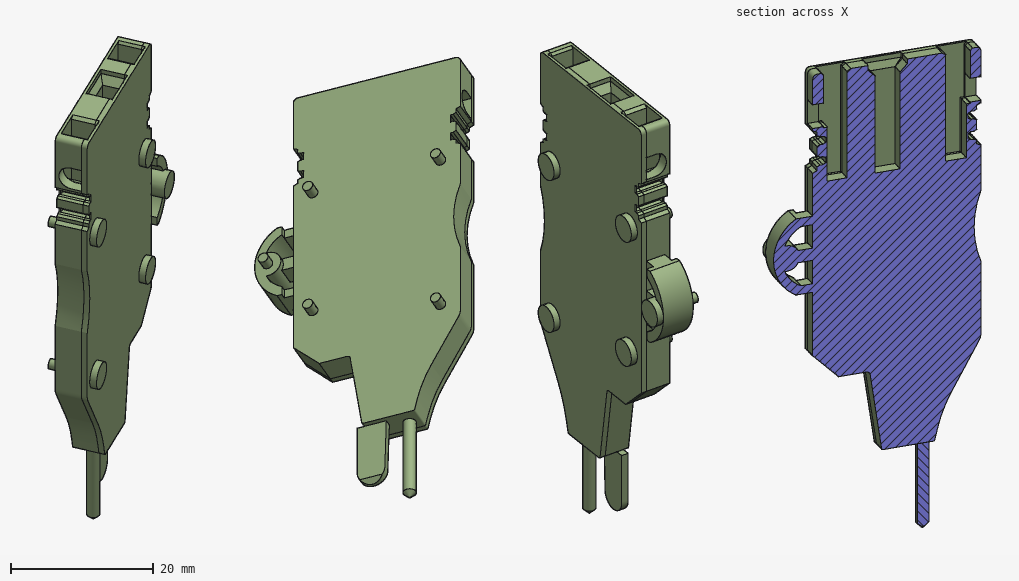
import cadquery as cq
import math


thickness = 4.8
seam_x = 3.95
mid_x = thickness / 2
side_wall = 0.45
top_z = 73.1
bottom_z = 13.2
depth_y = 25.5

top_radius = 0.7
slope_start_z = 28.15
slope_angle = 30.0
slope_start_radius = 2.05
knee_z = 17.9
knee_radius = 20.2
knee_y = (slope_start_z - knee_z) * math.tan(math.radians(slope_angle))
foot_front_y = 7.0
foot_back_y = 15.05
foot_radius = 0.3
shelf_z = 25.65
shelf_front_y = 16.9
shelf_radius = 0.5
back_bevel = 3.95

hollow_z = 45.3
hollow_height = 11.0
hollow_depth = 1.0

grip_z = 61.1
grip_height = 6.5
grip_depth = 0.65
grip_bevel = 0.3
groove_pitch = 3.15
groove_depth = 1.5
groove_floor_height = 1.2
groove_bevel_depth = 0.45
groove_bevel_height = 0.2
scoop_depth = 0.45
scoop_margin = 0.2

edge_wall = 1.3
well_bottom_z = 56.3
lead_in_depth = 0.4
front_well_end_y = 5.9
back_well_start_y = 19.75
outer_lead_in = 0.4
inner_lead_in = 0.6
step_z = 64.6
stepped_wall = 2.3
socket_y0 = 11.2
socket_y1 = 17.1
socket_rim_depth = 0.7
socket_funnel_depth = 1.1
socket_lead_in_y = 1.1
socket_x0 = 1.1

slot_z = 66.6
slot_radius = 1.8

peg_places = [(3.0, 55.7), (22.5, 55.7), (22.5, 35.1), (3.0, 30.5)]
peg_diameter = 1.5
peg_length = 1.9
head_diameter = 4.0
head_length = 1.0

hoop_thickness = 5.05
hoop_peg_length = 1.7
hoop_tip_y = 31.4
hoop_z = 45.3
hoop_half_height = 5.9
hoop_arc_start_y = 28.0
hoop_base_y = 27.3
hoop_wall = 1.4
boss_y = hoop_tip_y - head_diameter / 2
arm_x0 = 0.9
web_height = 2.0

blade_x0 = 0.7
blade_thickness = 1.1
blade_front_y = 11.6
blade_back_y = 16.1
blade_bottom_z = 3.2
blade_taper = 0.2
blade_bevel = 0.9
blade_bevel_x = 0.6
pin_diameter = 1.9
pin_y = 8.8
pin_tip_length = 0.95


def plate_prism(points, x0, x1):
    """Extrude a closed (y, z) polygon from x0 to x1."""
    return cq.Workplane("YZ").workplane(offset=x0).polyline(points).close().extrude(x1 - x0)


def block(x0, x1, y0, y1, z0, z1):
    return cq.Workplane("XY").box(x1 - x0, y1 - y0, z1 - z0, centered=False).translate((x0, y0, z0))


def rod(place, diameter, x0, x1):
    """Cylinder along X at a (y, z) place."""
    return cq.Workplane("YZ").workplane(offset=x0).center(*place).circle(diameter / 2).extrude(x1 - x0)


def mirror_in_depth(tool):
    """Copy of a tool on the opposite edge, mirrored about the middle of the depth."""
    return tool.mirror("XZ", (0, depth_y / 2, 0))


def round_corner(body, y, z, radius):
    """Fillet the edge along X that passes through (y, z)."""
    near = 0.04
    corner = cq.selectors.BoxSelector((-near, y - near, z - near), (thickness + near, y + near, z + near))
    return body.edges("|X").edges(corner).fillet(radius)


def grip_profile():
    """Front edge recess with two deeper grooves, as (y, z) points from top to bottom."""
    upper = grip_z + grip_height / 2
    lower = grip_z - grip_height / 2
    points = [(0, upper), (grip_depth, upper - grip_bevel)]
    half_floor = groove_floor_height / 2
    half_mouth = half_floor + groove_bevel_height
    bevel_y = grip_depth + groove_bevel_depth
    for center in (grip_z + groove_pitch / 2, grip_z - groove_pitch / 2):
        points += [
            (grip_depth, center + half_mouth),
            (bevel_y, center + half_floor),
            (groove_depth, center + half_floor),
            (groove_depth, center - half_floor),
            (bevel_y, center - half_floor),
            (grip_depth, center - half_mouth),
        ]
    return points + [(grip_depth, lower + grip_bevel), (0, lower)]


def groove_scoop(center_z):
    """Tapered recess in the floor of a front groove."""
    width = thickness - 2 * scoop_margin
    height = groove_floor_height
    inner_width = thickness - 2 * side_wall
    inner_height = height - 2 * (side_wall - scoop_margin)
    return (
        cq.Workplane("XZ", origin=(mid_x, groove_depth, center_z))
        .rect(width, height)
        .workplane(offset=-scoop_depth)
        .rect(inner_width, inner_height)
        .loft()
    )


def outer_well(wall_y, inner_y):
    """Well between an edge wall and a divider, with lead-ins and a wall that steps in at the grooves."""
    toward = 1 if inner_y > wall_y else -1
    edge_y = wall_y - toward * edge_wall
    lead_z = top_z - lead_in_depth
    return plate_prism(
        [
            (wall_y, top_z),
            (wall_y + toward * outer_lead_in, lead_z),
            (wall_y + toward * outer_lead_in, step_z),
            (edge_y + toward * stepped_wall, step_z),
            (edge_y + toward * stepped_wall, well_bottom_z),
            (inner_y - toward * inner_lead_in, well_bottom_z),
            (inner_y - toward * inner_lead_in, lead_z),
            (inner_y, top_z),
        ],
        side_wall,
        thickness - side_wall,
    )


def middle_socket():
    """Rim, four-sided funnel and straight shaft."""
    rim_z = top_z - socket_rim_depth
    shaft_z = rim_z - socket_funnel_depth
    shaft_y0 = socket_y0 + socket_lead_in_y
    shaft_y1 = socket_y1 - socket_lead_in_y
    rim = block(side_wall, thickness - side_wall, socket_y0, socket_y1, rim_z, top_z)
    shaft = block(socket_x0, seam_x, shaft_y0, shaft_y1, well_bottom_z, shaft_z)
    shaft_shift_x = (socket_x0 + seam_x) / 2 - mid_x
    funnel = (
        cq.Workplane("XY", origin=(mid_x, (socket_y0 + socket_y1) / 2, rim_z))
        .rect(thickness - 2 * side_wall, socket_y1 - socket_y0)
        .workplane(offset=-socket_funnel_depth)
        .center(shaft_shift_x, 0)
        .rect(seam_x - socket_x0, shaft_y1 - shaft_y0)
        .loft()
    )
    return rim.union(funnel).union(shaft)


def full_body():
    """Housing and cover together, before they are parted at the seam."""
    body = plate_prism(
        [
            (0, top_z),
            (0, slope_start_z),
            (knee_y, knee_z),
            (foot_front_y, bottom_z),
            (foot_back_y, bottom_z),
            (shelf_front_y, shelf_z),
            (depth_y - back_bevel, shelf_z),
            (depth_y, shelf_z + back_bevel),
            (depth_y, top_z),
        ],
        0,
        thickness,
    )
    for y, z, radius in [
        (0, top_z, top_radius),
        (depth_y, top_z, top_radius),
        (0, slope_start_z, slope_start_radius),
        (knee_y, knee_z, knee_radius),
        (foot_front_y, bottom_z, foot_radius),
        (foot_back_y, bottom_z, foot_radius),
        (shelf_front_y, shelf_z, shelf_radius),
    ]:
        body = round_corner(body, y, z, radius)

    hollow = (
        cq.Workplane("YZ")
        .moveTo(0, hollow_z - hollow_height / 2)
        .threePointArc((hollow_depth, hollow_z), (0, hollow_z + hollow_height / 2))
        .close()
        .extrude(thickness)
    )
    body = body.cut(hollow)

    grip = plate_prism(grip_profile(), 0, thickness)
    for center_z in (grip_z + groove_pitch / 2, grip_z - groove_pitch / 2):
        grip = grip.union(groove_scoop(center_z))
    body = body.cut(grip).cut(mirror_in_depth(grip))

    body = body.cut(outer_well(edge_wall, front_well_end_y))
    body = body.cut(outer_well(depth_y - edge_wall, back_well_start_y))
    return body.cut(middle_socket())


def edge_slot():
    """Slot in the front wall, rounded toward the housing's outer side and ending at the seam."""
    return (
        cq.Workplane("XZ")
        .moveTo(seam_x, slot_z + slot_radius)
        .lineTo(mid_x, slot_z + slot_radius)
        .threePointArc((mid_x - slot_radius, slot_z), (mid_x, slot_z - slot_radius))
        .lineTo(seam_x, slot_z - slot_radius)
        .close()
        .extrude(-stepped_wall)
    )


def hoop():
    """Arched ring with a boss, a peg and a head, carried by three narrow arms."""
    inner_half = hoop_half_height - hoop_wall
    arch = (
        cq.Workplane("YZ")
        .moveTo(hoop_base_y, hoop_z - hoop_half_height)
        .lineTo(hoop_arc_start_y, hoop_z - hoop_half_height)
        .threePointArc((hoop_tip_y, hoop_z), (hoop_arc_start_y, hoop_z + hoop_half_height))
        .lineTo(hoop_base_y, hoop_z + hoop_half_height)
        .lineTo(hoop_base_y, hoop_z + inner_half)
        .threePointArc((hoop_tip_y - hoop_wall, hoop_z), (hoop_base_y, hoop_z - inner_half))
        .close()
        .extrude(hoop_thickness)
    )
    place = (boss_y, hoop_z)
    ring = arch.union(rod(place, head_diameter, 0, hoop_thickness))
    ring = ring.union(rod(place, peg_diameter, -hoop_peg_length, 0))
    ring = ring.union(rod(place, head_diameter, hoop_thickness, hoop_thickness + head_length))

    for z0 in (hoop_z + inner_half, hoop_z - hoop_half_height):
        ring = ring.union(block(arm_x0, seam_x, depth_y, hoop_base_y, z0, z0 + hoop_wall))
    web = block(arm_x0, seam_x, depth_y, boss_y, hoop_z - web_height / 2, hoop_z + web_height / 2)
    return ring.union(web)


def make_housing(body):
    housing = body.intersect(block(0, seam_x, 0, depth_y, 0, top_z))
    housing = housing.cut(edge_slot()).cut(mirror_in_depth(edge_slot()))
    for place in peg_places:
        housing = housing.union(rod(place, peg_diameter, -peg_length, 0))
    return housing.union(hoop())


def make_cover(body):
    cover = body.intersect(block(seam_x, thickness, 0, depth_y, 0, top_z))
    for place in peg_places:
        cover = cover.union(rod(place, head_diameter, thickness, thickness + head_length))
    return cover


def make_blade():
    """Flat blade with a tapered front edge, a round end and a bevel on its outer side."""
    end_radius = (blade_back_y - blade_front_y - blade_taper) / 2
    end_y = blade_back_y - end_radius
    end_z = blade_bottom_z + end_radius
    blade = (
        cq.Workplane("YZ")
        .workplane(offset=blade_x0)
        .moveTo(blade_front_y, bottom_z)
        .lineTo(blade_front_y + blade_taper, end_z)
        .threePointArc((end_y, blade_bottom_z), (blade_back_y, end_z))
        .lineTo(blade_back_y, bottom_z)
        .close()
        .extrude(blade_thickness)
    )
    bevel = (
        cq.Workplane("XZ", origin=(blade_x0, blade_front_y, blade_bottom_z))
        .polyline([(0, 0), (blade_bevel_x, 0), (0, blade_bevel)])
        .close()
        .extrude(blade_front_y - blade_back_y)
    )
    return blade.cut(bevel)


def make_pin():
    """Round pin with a conical point at Z = 0."""
    radius = pin_diameter / 2
    return (
        cq.Workplane("XZ")
        .polyline([(0, 0), (radius, pin_tip_length), (radius, bottom_z), (0, bottom_z)])
        .close()
        .revolve(360, (0, 0, 0), (0, 1, 0))
        .translate((mid_x, pin_y, 0))
    )


both_plates = full_body()
housing = make_housing(both_plates)
cover = make_cover(both_plates)
blade = make_blade()
pin = make_pin()

result = cq.Compound.makeCompound([housing.val(), cover.val(), blade.val(), pin.val()])